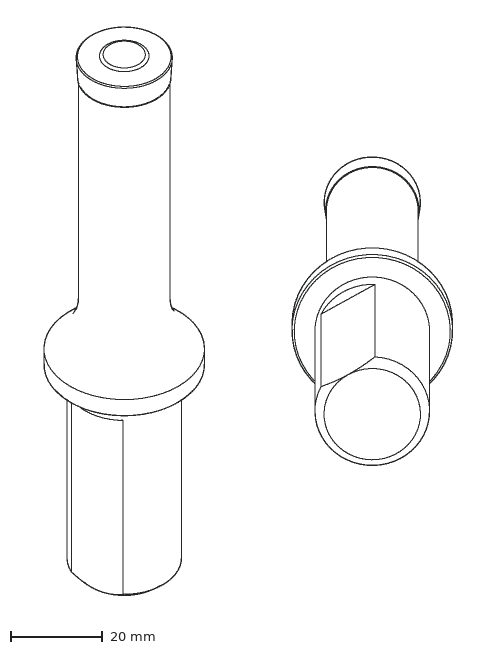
import cadquery as cq
import math

total_length = 144.0

shank_diameter = 25.0
shank_length = 56.0
shank_chamfer = 2.0
flat_depth = 2.0
flat_top_gap = 5.0

flange_diameter = 35.0
flange_thickness = 5.0
flange_edge_chamfer = 0.5
neck_diameter = 20.0
flare_radius = 16.0
cone_angle = math.radians(45)

head_length = 6.6
head_base_diameter = 20.4
head_top_diameter = 21.0
head_edge_chamfer = 0.3

tip_flat_diameter = 1.3
centre_diameter = 9.2
centre_slope = math.radians(1.0)
step_base_diameter = 10.8
step_height = 0.4
outer_slope = math.radians(2.5)


def flare_point(angle):
    """Radius and height above the flange of the flare where its slope makes this angle with the axis."""
    neck_radius = neck_diameter / 2
    cone_top_radius = neck_radius + flare_radius * (1 - math.cos(cone_angle))
    cone_height = (flange_diameter / 2 - cone_top_radius) / math.tan(cone_angle)
    radius = neck_radius + flare_radius * (1 - math.cos(angle))
    height = cone_height + flare_radius * (math.sin(cone_angle) - math.sin(angle))
    return radius, shank_length + flange_thickness + height


def revolve_profile(profile):
    """Revolve a half section in the XZ plane about the Z axis."""
    return profile.close().revolve(360, (0, 0, 0), (0, 1, 0))


def make_flat_cutter():
    return (
        cq.Workplane("XY")
        .box(shank_diameter, flat_depth, shank_length - flat_top_gap, centered=(True, False, False))
        .translate((0, -shank_diameter / 2, 0))
    )


def make_holder():
    """Shank, flange, flare and neck as one turned body, with a flat on the -Y side of the shank."""
    shank_radius = shank_diameter / 2
    flange_radius = flange_diameter / 2
    head_bottom = total_length - head_length
    profile = (
        cq.Workplane("XZ")
        .lineTo(shank_radius - shank_chamfer, 0)
        .lineTo(shank_radius, shank_chamfer)
        .lineTo(shank_radius, shank_length)
        .lineTo(flange_radius - flange_edge_chamfer, shank_length)
        .lineTo(flange_radius, shank_length + flange_edge_chamfer)
        .lineTo(flange_radius, shank_length + flange_thickness)
        .lineTo(*flare_point(cone_angle))
        .threePointArc(flare_point(cone_angle / 2), flare_point(0))
        .lineTo(neck_diameter / 2, head_bottom)
        .lineTo(0, head_bottom)
    )
    return revolve_profile(profile).cut(make_flat_cutter())


def make_head():
    """Turned cutting head that sits on the end of the neck."""
    tip_radius = tip_flat_diameter / 2
    centre_radius = centre_diameter / 2
    step_radius = step_base_diameter / 2
    rim_radius = head_top_diameter / 2
    face_radius = rim_radius - head_edge_chamfer
    head_bottom = total_length - head_length

    centre_edge_height = total_length - (centre_radius - tip_radius) * math.tan(centre_slope)
    step_base_height = centre_edge_height - step_height
    face_edge_height = step_base_height - (face_radius - step_radius) * math.tan(outer_slope)

    profile = (
        cq.Workplane("XZ")
        .moveTo(0, head_bottom)
        .lineTo(head_base_diameter / 2, head_bottom)
        .lineTo(rim_radius, face_edge_height - head_edge_chamfer)
        .lineTo(face_radius, face_edge_height)
        .lineTo(step_radius, step_base_height)
        .lineTo(centre_radius, centre_edge_height)
        .lineTo(tip_radius, total_length)
        .lineTo(0, total_length)
    )
    return revolve_profile(profile)


holder = make_holder()
head = make_head()

result = cq.Compound.makeCompound([holder.val(), head.val()])